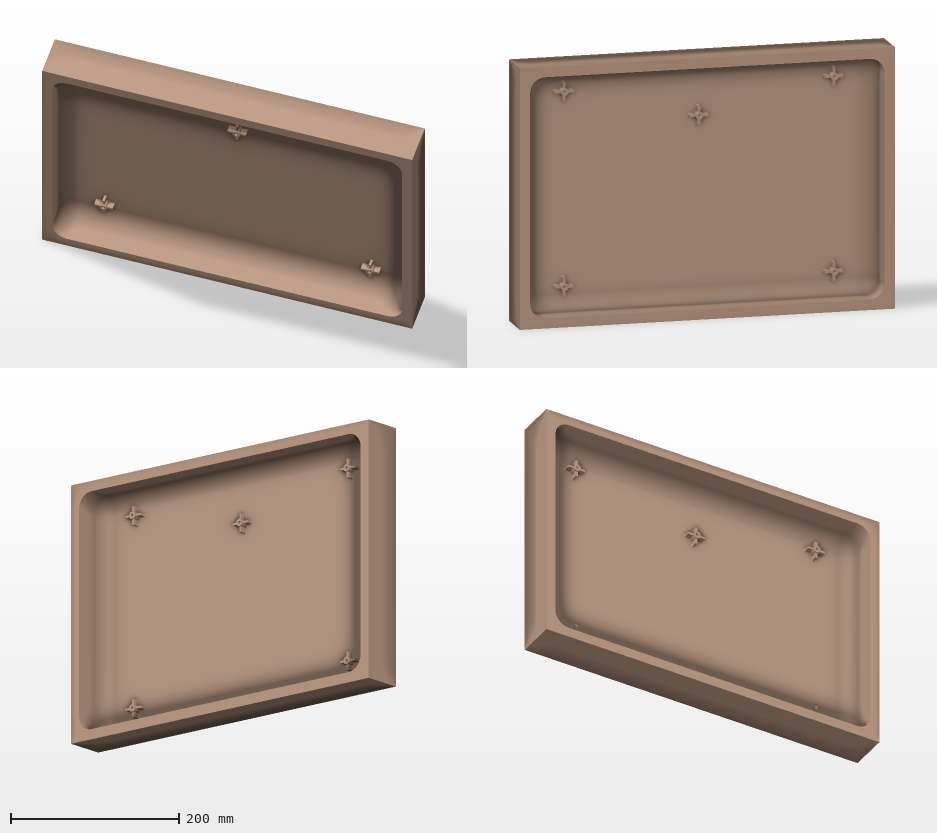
import cadquery as cq

width = 460.5
depth = 50.5
height = 318.5
cavity_width = 435.0
floor_thickness = 4.5
cavity_radius = 18.5

boss_radius = 4.5
boss_height = 10.0
hole_radius = 2.0
hole_depth = 8.5
corner_boss_x = 165.7
corner_boss_z = 119.0
middle_boss_z = 80.5

rib_reach = 11.5
rib_thickness = 2.8
rib_height = 8.5
root_radius = 1.5

base_radius = 16.0
base_thickness = 2.5

selection_margin = 0.5

floor_y = depth / 2 - floor_thickness
cavity_depth = depth - floor_thickness
cavity_height = height - (width - cavity_width)

boss_places = [(0, middle_boss_z)] + [
    (x, z)
    for x in (-corner_boss_x, corner_boss_x)
    for z in (-corner_boss_z, corner_boss_z)
]


def make_tray():
    """Box with an open cavity whose corners and floor edge share one radius."""
    slab = cq.Workplane("XY").box(width, depth, height)
    cavity = (
        cq.Workplane("XY")
        .box(cavity_width, cavity_depth, cavity_height)
        .translate((0, -floor_thickness / 2, 0))
        .edges("|Y or >Y")
        .fillet(cavity_radius)
    )
    return slab.cut(cavity)


def make_boss(x, z):
    """Round boss with a cross of ribs, flared where it meets the floor."""
    floor_plane = cq.Workplane("XZ", origin=(x, floor_y, z))
    base = floor_plane.circle(base_radius).extrude(-base_thickness)
    post = floor_plane.circle(boss_radius).extrude(boss_height)
    ribs_along_x = floor_plane.rect(2 * rib_reach, rib_thickness).extrude(rib_height)
    ribs_along_z = floor_plane.rect(rib_thickness, 2 * rib_reach).extrude(rib_height)
    boss = base.union(post).union(ribs_along_x).union(ribs_along_z)

    half_box = rib_reach + selection_margin
    root_box = cq.selectors.BoxSelector(
        (x - half_box, floor_y - selection_margin, z - half_box),
        (x + half_box, floor_y + selection_margin, z + half_box),
        boundingbox=True,
    )
    return boss.edges(root_box).fillet(root_radius)


def make_screw_hole(x, z):
    """Blind hole sunk from the top of a boss."""
    boss_top = cq.Workplane("XZ", origin=(x, floor_y - boss_height, z))
    return boss_top.circle(hole_radius).extrude(-hole_depth)


result = make_tray()
for x, z in boss_places:
    result = result.union(make_boss(x, z)).cut(make_screw_hole(x, z))